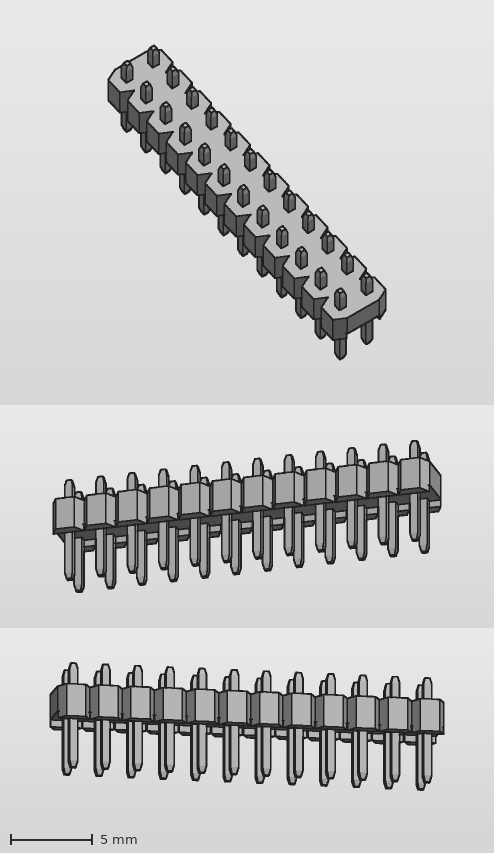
import cadquery as cq


body_length = 24.0
columns = 12
rows = 2
pitch = body_length / columns

body_width = rows * pitch
body_height = pitch
land_length = 0.6 * pitch
notch_depth = 0.4 * pitch

pin_side = pitch / 4
pin_rise = 0.75 * pitch
pin_drop = 1.5 * pitch
tip_length = 0.38
tip_side = 0.6 * pin_side

channel_depth = 0.43
channel_width = pitch + pin_side


def column_x(column):
    return (column - (columns - 1) / 2) * pitch


def row_y(row):
    return (row - (rows - 1) / 2) * pitch


def make_body():
    """Block whose long sides narrow to a V between neighbouring pins and at both ends."""
    front_edge = []
    for column in range(columns):
        x = column_x(column)
        front_edge += [
            (x - pitch / 2, notch_depth - body_width / 2),
            (x - land_length / 2, -body_width / 2),
            (x + land_length / 2, -body_width / 2),
        ]
    front_edge.append((body_length / 2, notch_depth - body_width / 2))
    back_edge = [(x, -y) for x, y in reversed(front_edge)]
    block = cq.Workplane("XY").polyline(front_edge + back_edge).close().extrude(body_height)
    channel = cq.Workplane("XY").box(
        body_length, channel_width, channel_depth, centered=(True, True, False)
    )
    return block.cut(channel)


def make_tip(base_z, end_z):
    """Square taper from the full pin section at base_z to the blunt end at end_z."""
    return (
        cq.Workplane("XY", origin=(0, 0, base_z))
        .rect(pin_side, pin_side)
        .workplane(offset=end_z - base_z)
        .rect(tip_side, tip_side)
        .loft(ruled=True)
    )


def make_pin():
    """Square pin on the Z axis, tapered at both ends."""
    top_z = body_height + pin_rise
    bottom_z = -pin_drop
    shank_top = top_z - tip_length
    shank_bottom = bottom_z + tip_length
    shank = (
        cq.Workplane("XY", origin=(0, 0, shank_bottom))
        .rect(pin_side, pin_side)
        .extrude(shank_top - shank_bottom)
    )
    return shank.union(make_tip(shank_top, top_z)).union(make_tip(shank_bottom, bottom_z))


pin = make_pin()
result = make_body()
for column in range(columns):
    for row in range(rows):
        result = result.union(pin.translate((column_x(column), row_y(row), 0)))